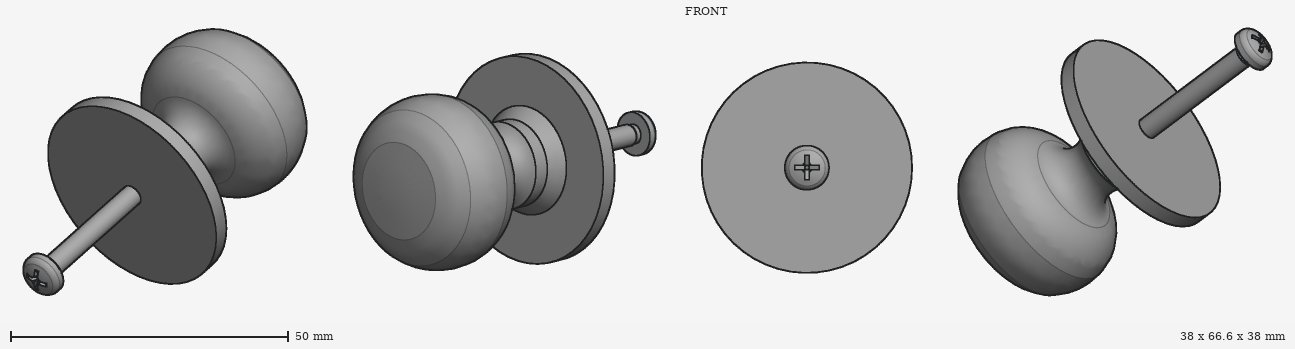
import cadquery as cq
import math


plate_radius = 19.0
plate_thickness = 3.05
foot_radius = 10.0
collar_radius = 8.0
collar_start = 6.0
collar_end = 9.05

waist_radius = 5.3
ball_start = 18.45
ball_start_radius = 9.3
waist_y = (collar_end + ball_start) / 2

back_arc_mid = (14.05, 21.4)
side_start = 25.35
side_radius = 15.8
side_arc_mid = (15.8, 29.55)
side_end = 33.5
side_end_radius = 14.25
front_arc_mid = (12.05, 35.6)
crown_start = 37.0
crown_start_radius = 8.9
knob_top = 37.6

overall_length = 66.6
recess_tip_loss = 0.05
shank_radius = 2.0
relief_radius = 1.8
screw_depth = 8.0
relief_start = -24.4
relief_taper = 0.3
head_seat = -25.9
head_radius = 4.0
head_rim_height = 1.2
shoulder_height = 2.3
shoulder_radius = 3.25
shoulder_arc_mid_radius = 3.7
shoulder_arc_mid_height = 1.85
head_end = knob_top - overall_length - recess_tip_loss

recess_span = 4.4
recess_mouth_depth = 0.5
recess_width = 0.8
recess_depth = 1.65
recess_floor_span = 0.4
recess_core_diagonal = 2.5


def revolve_about_y(profile):
    """Turn a closed radius-versus-Y profile about the Y axis."""
    return profile.close().revolve(360, (0, 0, 0), (0, 1, 0))


def cap_arc_point(edge_radius, edge_y, apex_y):
    """Point midway out on the spherical cap that has this edge and apex."""
    height = apex_y - edge_y
    sphere_radius = (edge_radius**2 + height**2) / (2 * abs(height))
    radius = edge_radius / 2
    drop = sphere_radius - math.sqrt(sphere_radius**2 - radius**2)
    return (radius, apex_y - math.copysign(drop, height))


def make_knob():
    """Plate, foot, waist and ball in one piece, with a blind hole for the screw."""
    profile = (
        cq.Workplane("XY")
        .moveTo(0, screw_depth)
        .lineTo(shank_radius, screw_depth)
        .lineTo(shank_radius, 0)
        .lineTo(plate_radius, 0)
        .lineTo(plate_radius, plate_thickness)
        .lineTo(foot_radius, plate_thickness)
        .lineTo(collar_radius, collar_start)
        .lineTo(collar_radius, collar_end)
        .threePointArc((waist_radius, waist_y), (ball_start_radius, ball_start))
        .threePointArc(back_arc_mid, (side_radius, side_start))
        .threePointArc(side_arc_mid, (side_end_radius, side_end))
        .threePointArc(front_arc_mid, (crown_start_radius, crown_start))
        .threePointArc(cap_arc_point(crown_start_radius, crown_start, knob_top), (0, knob_top))
    )
    return revolve_about_y(profile)


def make_recess_slot():
    """One slot of the cross, lying along X and narrowing toward its floor."""
    mouth = head_end + recess_mouth_depth
    floor = head_end + recess_depth
    return (
        cq.Workplane("XY")
        .moveTo(-recess_span / 2, head_end)
        .lineTo(recess_span / 2, head_end)
        .lineTo(recess_span / 2, mouth)
        .lineTo(recess_floor_span / 2, floor)
        .lineTo(-recess_floor_span / 2, floor)
        .lineTo(-recess_span / 2, mouth)
        .close()
        .extrude(recess_width / 2, both=True)
    )


def make_recess_core():
    """Four-sided pyramid that bevels the inner corners of the cross."""
    mouth_side = recess_core_diagonal / math.sqrt(2)
    floor_side = recess_floor_span / math.sqrt(2)
    taper = math.degrees(math.atan((mouth_side - floor_side) / 2 / recess_depth))
    return (
        cq.Workplane("XZ", origin=(0, head_end, 0))
        .transformed(rotate=(0, 0, 45))
        .rect(mouth_side, mouth_side)
        .extrude(-recess_depth, taper=taper)
    )


def make_screw():
    """Shank, relief and pan head in one piece, with a cross recess."""
    shoulder_y = head_seat - shoulder_height
    shoulder_arc_mid = (shoulder_arc_mid_radius, head_seat - shoulder_arc_mid_height)
    profile = (
        cq.Workplane("XY")
        .moveTo(0, screw_depth)
        .lineTo(shank_radius, screw_depth)
        .lineTo(shank_radius, relief_start)
        .lineTo(relief_radius, relief_start - relief_taper)
        .lineTo(relief_radius, head_seat)
        .lineTo(head_radius, head_seat)
        .lineTo(head_radius, head_seat - head_rim_height)
        .threePointArc(shoulder_arc_mid, (shoulder_radius, shoulder_y))
        .threePointArc(cap_arc_point(shoulder_radius, shoulder_y, head_end), (0, head_end))
    )
    screw = revolve_about_y(profile)
    for angle in (0, 90):
        screw = screw.cut(make_recess_slot().rotate((0, 0, 0), (0, 1, 0), angle))
    return screw.cut(make_recess_core())


knob = make_knob()
screw = make_screw()
result = cq.Compound.makeCompound([knob.val(), screw.val()])